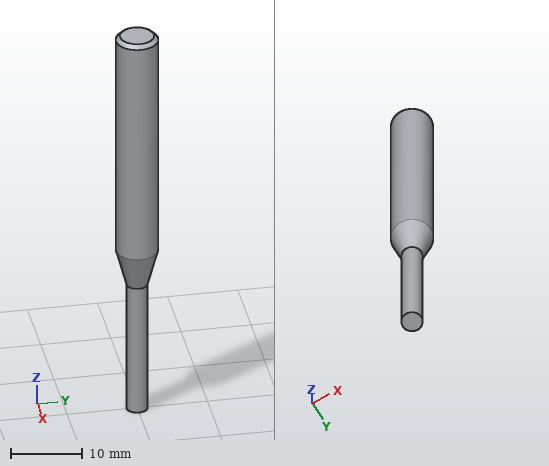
import cadquery as cq
import math

total_length = 60.0
shank_diameter = 6.0
cutter_diameter = 3.0
cutter_length = 20.0
shank_chamfer = 0.6
taper_half_angle = 15.0

shank_radius = shank_diameter / 2
cutter_radius = cutter_diameter / 2
taper_length = (shank_radius - cutter_radius) / math.tan(math.radians(taper_half_angle))
taper_top = cutter_length + taper_length


def make_shank():
    """Chamfered cylindrical shank that tapers down to the cutter diameter."""
    profile = [
        (0, cutter_length),
        (cutter_radius, cutter_length),
        (shank_radius, taper_top),
        (shank_radius, total_length - shank_chamfer),
        (shank_radius - shank_chamfer, total_length),
        (0, total_length),
    ]
    return cq.Workplane("XZ").polyline(profile).close().revolve(360, (0, 0), (0, 1))


def make_cutter():
    """Plain round cutter whose upper face meets the narrow end of the shank."""
    return cq.Workplane("XY").circle(cutter_radius).extrude(cutter_length)


shank = make_shank()
cutter = make_cutter()

result = cq.Compound.makeCompound([shank.val(), cutter.val()])